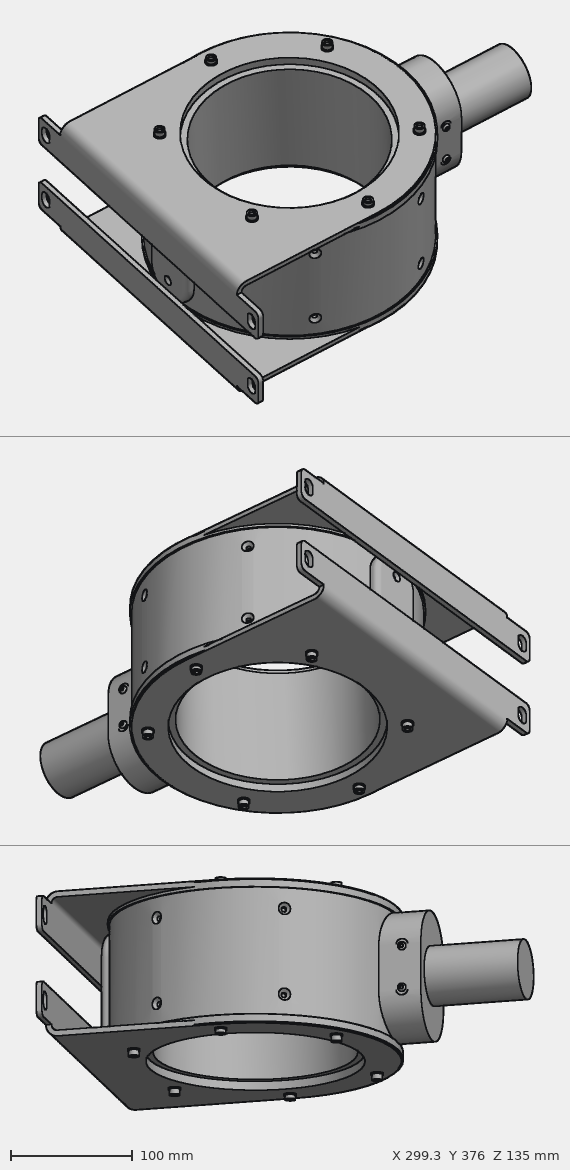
import cadquery as cq
import math

overall_length = 376
overall_height = 135.0

ring_diameter = 240.2
ring_radius = ring_diameter / 2
ring_half_height = 54.0
ring_overlap = 11.3
bore_diameter = 168.0
rim_diameter = 243.2
rim_top = 60.5
recess_diameter = 180.0

sheet = 5.0
plate_top = 61.5
plate_underside = plate_top - sheet
bracket_front = -145.5
bend_outer_radius = 10.0
bend_inner_radius = bend_outer_radius - sheet
foot_length = 299.3
foot_height = 30.0
foot_top = plate_top - bend_outer_radius
foot_center_z = foot_top - foot_height / 2
foot_corner_radius = 5.0
foot_slot_x = 140.0
foot_slot_length = 15.5
foot_slot_width = 10.0

screw_circle_radius = 106.8
screw_spread = 54
side_screw_height = 4.5
corner_screw_height = overall_height / 2 - plate_top
cap_screws = [
    (0, side_screw_height),
    (screw_spread, corner_screw_height),
    (180 - screw_spread, corner_screw_height),
    (180, side_screw_height),
    (180 + screw_spread, corner_screw_height),
    (-screw_spread, corner_screw_height),
]
screw_flange_diameter = 10.0
screw_flange_height = 1.0
screw_head_diameter = 8.5
screw_socket_diameter = 5.5
screw_socket_depth = 2.3

wall_hole_angles = [screw_spread / 2 + side for side in (0, 180)]
wall_hole_angles += [-angle for angle in wall_hole_angles]
wall_hole_z = 36.5
wall_countersink_diameter = 10.0
pad_hole_angle = -90
pad_hole_z = 34.0
pad_countersink_diameter = 8.5
hole_diameter = 4.0
hole_depth = 6.0
countersink_depth = 3.0

pad_width = 50.0
pad_height = 109.8
pad_front = -125.5
pad_edge_radius = 5.0

neck_width = 70.0
neck_height = 109.8
neck_end = 150.8
pipe_diameter = 50.0
pipe_end = overall_length + bracket_front

neck_boss_y = 134.5
neck_boss_z = 18.8
neck_boss_diameter = 10.0
neck_boss_depth = 3.8
neck_screw_z = 17.5
neck_screw_diameter = 6.8
neck_screw_height = 2.0
neck_screw_edge_radius = 1.0
neck_socket_diameter = 3.0
neck_socket_depth = 1.5


def cylinder_z(diameter, bottom, top):
    return cq.Workplane("XY").workplane(offset=bottom).circle(diameter / 2).extrude(top - bottom)


def upright_slot(width, height, y_start, y_end):
    """Bar along Y with round-ended section, its long side along Z."""
    section = cq.Workplane("XZ", origin=(0, y_start, 0)).slot2D(height, width, 90)
    return section.extrude(y_start - y_end)


def make_ring():
    """Drum with a wider rim at each end."""
    ring = cylinder_z(ring_diameter, -ring_half_height, ring_half_height)
    ring = ring.union(cylinder_z(rim_diameter, ring_half_height, rim_top))
    return ring.union(cylinder_z(rim_diameter, -rim_top, -ring_half_height))


def make_bracket():
    """Upper bracket: rounded plate, bend at the front and a slotted foot strip."""
    bend_y = bracket_front + bend_outer_radius
    plate = (
        cq.Workplane("XY").workplane(offset=plate_underside)
        .moveTo(-ring_radius, bend_y)
        .lineTo(-ring_radius, 0)
        .threePointArc((0, ring_radius), (ring_radius, 0))
        .lineTo(ring_radius, bend_y)
        .close().extrude(sheet)
    )
    diagonal = math.sqrt(0.5)
    bend = (
        cq.Workplane("YZ", origin=(-ring_radius, bend_y, foot_top))
        .moveTo(0, bend_outer_radius)
        .threePointArc(
            (-bend_outer_radius * diagonal, bend_outer_radius * diagonal),
            (-bend_outer_radius, 0),
        )
        .lineTo(-bend_inner_radius, 0)
        .threePointArc(
            (-bend_inner_radius * diagonal, bend_inner_radius * diagonal),
            (0, bend_inner_radius),
        )
        .close().extrude(ring_diameter)
    )
    foot_plane = cq.Workplane("XZ", origin=(0, bracket_front, foot_center_z))
    foot = foot_plane.rect(foot_length, foot_height).extrude(-sheet)
    foot = foot.edges("|Y").fillet(foot_corner_radius)
    slots = (
        foot_plane.pushPoints([(-foot_slot_x, 0), (foot_slot_x, 0)])
        .slot2D(foot_slot_length, foot_slot_width, 90).extrude(-sheet)
    )
    return plate.union(bend).union(foot.cut(slots))


def make_cap_screw(height):
    """Flanged socket head standing on the upper bracket at X = Y = 0."""
    flange = cylinder_z(screw_flange_diameter, plate_top, plate_top + screw_flange_height)
    head = cylinder_z(screw_head_diameter, plate_top, plate_top + height)
    socket = (
        cq.Workplane("XY").workplane(offset=plate_top + height)
        .polygon(6, screw_socket_diameter).extrude(-screw_socket_depth)
    )
    return flange.union(head).cut(socket)


def make_bracket_with_screws():
    bracket = make_bracket()
    for angle, height in cap_screws:
        screw = make_cap_screw(height).translate((screw_circle_radius, 0, 0))
        bracket = bracket.union(screw.rotate((0, 0, 0), (0, 0, 1), angle))
    return bracket


def make_countersunk_hole(surface, countersink_diameter):
    """Cutter running inward along -X, its cone starting at the distance `surface` from the Z axis."""
    profile = (
        cq.Workplane("XY")
        .moveTo(surface + countersink_depth, 0)
        .lineTo(surface + countersink_depth, countersink_diameter / 2)
        .lineTo(surface, countersink_diameter / 2)
        .lineTo(surface - countersink_depth, hole_diameter / 2)
        .lineTo(surface - hole_depth, hole_diameter / 2)
        .lineTo(surface - hole_depth, 0)
        .close()
    )
    return profile.revolve(360, (0, 0, 0), (1, 0, 0))


def cut_hole_pair(body, hole, angle, level):
    """Cut the same hole above and below the middle plane, turned to an angle about Z."""
    turned = hole.rotate((0, 0, 0), (0, 0, 1), angle)
    return body.cut(turned.translate((0, 0, level))).cut(turned.translate((0, 0, -level)))


def make_pad():
    pad = upright_slot(pad_width, pad_height, ring_overlap - ring_radius, pad_front)
    return pad.faces("<Y").edges().fillet(pad_edge_radius)


def make_neck_screws():
    """Bosses and screw heads on the +X flat side of the neck."""
    screw_plane = cq.Workplane("YZ", origin=(neck_width / 2, neck_boss_y, 0))
    bosses = (
        screw_plane.pushPoints([(0, -neck_boss_z), (0, neck_boss_z)])
        .circle(neck_boss_diameter / 2).extrude(-neck_boss_depth)
    )
    screw_points = [(0, -neck_screw_z), (0, neck_screw_z)]
    heads = screw_plane.pushPoints(screw_points).circle(neck_screw_diameter / 2).extrude(neck_screw_height)
    heads = heads.faces(">X").edges().fillet(neck_screw_edge_radius)
    sockets = (
        screw_plane.workplane(offset=neck_screw_height).pushPoints(screw_points)
        .circle(neck_socket_diameter / 2).extrude(-neck_socket_depth)
    )
    return bosses.union(heads).cut(sockets)


neck_start = ring_radius - ring_overlap
neck = upright_slot(neck_width, neck_height, neck_start, neck_end)
pipe = cq.Workplane("XZ", origin=(0, neck_end, 0)).circle(pipe_diameter / 2).extrude(neck_end - pipe_end)
neck_screws = make_neck_screws()
bracket = make_bracket_with_screws()

result = make_ring().union(neck).union(pipe)
result = result.union(neck_screws).union(neck_screws.mirror("YZ"))
result = result.union(bracket).union(bracket.mirror("XY"))
result = result.union(make_pad())

wall_hole = make_countersunk_hole(ring_radius, wall_countersink_diameter)
for angle in wall_hole_angles:
    result = cut_hole_pair(result, wall_hole, angle, wall_hole_z)
pad_hole = make_countersunk_hole(-pad_front, pad_countersink_diameter)
result = cut_hole_pair(result, pad_hole, pad_hole_angle, pad_hole_z)

result = result.cut(cylinder_z(bore_diameter, -plate_top, plate_top))
result = result.cut(cylinder_z(recess_diameter, ring_half_height, plate_top))
result = result.cut(cylinder_z(recess_diameter, -plate_top, -ring_half_height))